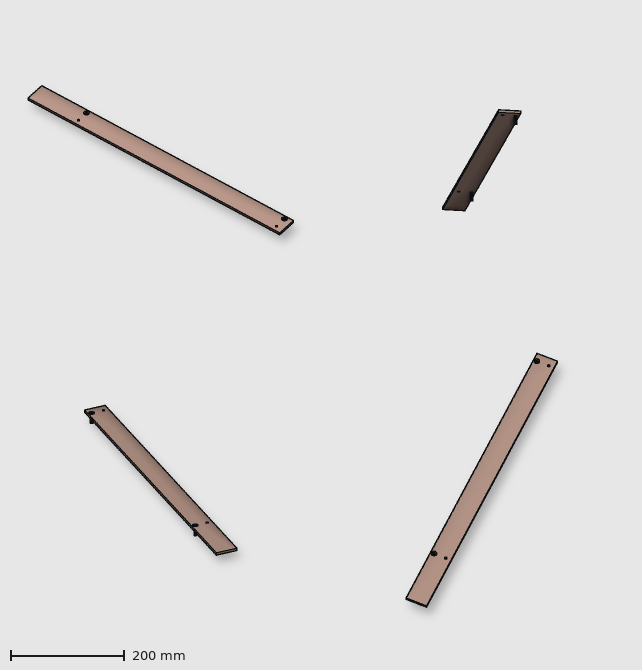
import cadquery as cq

plate_length = 560.0
plate_width = 40.0
plate_thickness = 5.0

right_end_distance = 15.0
station_spacing = 440.0
right_station_x = plate_length - right_end_distance
station_xs = [right_station_x - station_spacing, right_station_x]
screw_y = 33.0
hole_y = 10.0
hole_diameter = 4.2

screw_length = 20.0
shank_diameter = 5.0
head_diameter = 10.0
head_height = (head_diameter - shank_diameter) / 2

recess_span = 6.0
recess_arm_width = 1.5
recess_depth = 1.5

thread_length = screw_length - plate_thickness
thread_count = 18
thread_pitch = thread_length / thread_count
thread_depth = 0.45


def plate_blank():
    """Plate before any hole is cut."""
    return cq.Workplane("XY").box(plate_length, plate_width, plate_thickness, centered=False)


def screw_blank(x):
    """Head and plain shank of the screw at x, which is also the shape of its hole."""
    shank_radius = shank_diameter / 2
    return (
        cq.Workplane("XZ")
        .lineTo(head_diameter / 2, 0)
        .lineTo(shank_radius, -head_height)
        .lineTo(shank_radius, -screw_length)
        .lineTo(0, -screw_length)
        .close()
        .revolve(360, (0, 0), (0, 1))
        .translate((x, screw_y, plate_thickness))
    )


def cross_recess(x):
    """Cross with equal arms along X and Y, sunk into the screw head at x."""
    top = cq.Workplane("XY", origin=(x, screw_y, plate_thickness))
    arm_along_x = top.rect(recess_span, recess_arm_width).extrude(-recess_depth)
    arm_along_y = top.rect(recess_arm_width, recess_span).extrude(-recess_depth)
    return arm_along_x.union(arm_along_y)


def threaded_shank(x):
    """Part of the screw below the plate, with one V groove per pitch."""
    crest_radius = shank_diameter / 2
    root_radius = crest_radius - thread_depth
    profile = cq.Workplane("XZ").lineTo(crest_radius, 0)
    for turn in range(thread_count):
        profile = profile.lineTo(root_radius, -(turn + 0.5) * thread_pitch)
        profile = profile.lineTo(crest_radius, -(turn + 1) * thread_pitch)
    return (
        profile.lineTo(0, -thread_length)
        .close()
        .revolve(360, (0, 0), (0, 1))
        .translate((x, screw_y, 0))
    )


def make_screw(x):
    """Plain head section inside the plate, joined to the threaded shank below it."""
    head = screw_blank(x).intersect(plate_blank())
    return head.union(threaded_shank(x)).cut(cross_recess(x))


def make_plate():
    """Plate with a plain round hole and a countersunk screw hole at each station."""
    holes = (
        cq.Workplane("XY")
        .pushPoints([(x, hole_y) for x in station_xs])
        .circle(hole_diameter / 2)
        .extrude(plate_thickness)
    )
    plate = plate_blank().cut(holes)
    for x in station_xs:
        plate = plate.cut(screw_blank(x))
    return plate


plate = make_plate()
screws = [make_screw(x) for x in station_xs]
result = cq.Compound.makeCompound([plate.val(), *[screw.val() for screw in screws]])